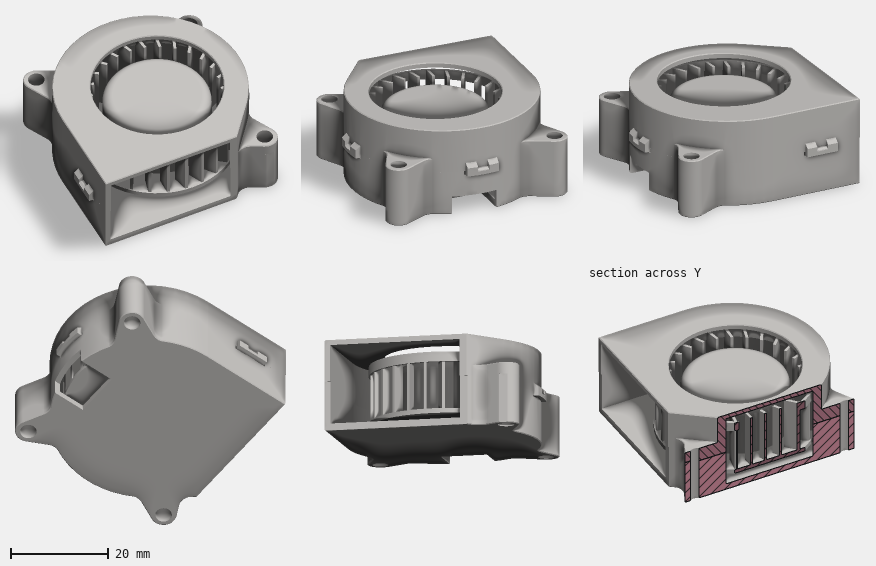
import cadquery as cq
import math


height = 18.95
scroll_radius = 20.2
corner_y = 9.8
wall = 1.2
floor_top = 1.47
ceiling = 17.85
edge_chamfer = 0.18
inlet_radius = 13.7

seam_z = 9.55
outlet_seam_z = 10.2
outlet_seam_x = 17.15
outlet_setback = 0.15

hole_pitch = 35.0
hole_radius = 1.7
lug_radius = scroll_radius - hole_pitch / 2
lug_top = 12.65
lug_flank_angle = math.degrees(math.atan(0.5))
lug_flank_length = 7.0
lug_fillet = 2.7
lug_root_depth = 0.05

clip_width = 7.0
clip_reach = 1.01
clip_bottom = 8.72
clip_shoulder = 10.57
clip_top = 11.41
clip_notch_width = 2.5
clip_inset = 0.6
pocket_width = 7.6
pocket_bottom = 8.55
hook_width = 2.4
hook_bottom = 9.73
hook_top = 10.03
hook_flat = 0.5
hook_pocket_top = 10.2
flat_clip_x = 11.0

cable_y_min = -3.45
cable_y_max = 6.3
cable_top = 4.0
cable_end_x = -12.0

impeller_y = 1.5
impeller_bottom = 3.32
disc_thickness = 1.0
impeller_radius = 16.8
hub_radius = 11.24
hub_top = 15.85
hub_fillet = 2.0
blade_count = 27
blade_top = 16.15
blade_inner_radius = 13.25
blade_thickness = 0.6
blade_lean = 21.0
first_blade_angle = -89.0
rim_bottom = 14.1
rim_inner_radius = 16.2
shaft_radius = 0.5

reach = 3 * scroll_radius


def box(x_min, x_max, y_min, y_max, z_min, z_max):
    size = (x_max - x_min, y_max - y_min, z_max - z_min)
    return cq.Workplane("XY").box(*size, centered=False).translate((x_min, y_min, z_min))


def disc(radius, z_min, z_max):
    return cq.Workplane("XY").workplane(offset=z_min).circle(radius).extrude(z_max - z_min)


def scroll(offset, end_x, z_min, z_max):
    """Round housing outline with a square -Y corner and a +Y side tangent to the circle."""
    radius = scroll_radius - offset
    corner_distance = math.hypot(scroll_radius, corner_y)
    tangent_angle = math.atan2(corner_y, scroll_radius) + math.acos(scroll_radius / corner_distance)
    tangent_x = radius * math.cos(tangent_angle)
    tangent_y = radius * math.sin(tangent_angle)
    side_y = (radius - end_x * math.cos(tangent_angle)) / math.sin(tangent_angle)
    return (
        cq.Workplane("XY")
        .workplane(offset=z_min)
        .moveTo(0, -radius)
        .lineTo(end_x, -radius)
        .lineTo(end_x, side_y)
        .lineTo(tangent_x, tangent_y)
        .threePointArc((-radius, 0), (0, -radius))
        .close()
        .extrude(z_max - z_min)
    )


lug_centres = [
    (side_x * hole_pitch / 2, side_y * hole_pitch / 2)
    for side_x, side_y in ((-1, 1), (1, 1), (-1, -1))
]


def lug(centre_x, centre_y):
    """Round boss with two straight flanks that spread towards the housing."""
    side_x = math.copysign(1, centre_x)
    side_y = math.copysign(1, centre_y)
    sine = math.sin(math.radians(lug_flank_angle))
    cosine = math.cos(math.radians(lug_flank_angle))
    near = (lug_radius * sine, lug_radius * cosine)
    far = (near[0] + lug_flank_length * cosine, near[1] - lug_flank_length * sine)
    flanks = [
        (-near[0], near[1]),
        (-far[0], far[1]),
        (far[1], -far[0]),
        (near[1], -near[0]),
    ]
    corners = [(centre_x + side_x * u, centre_y + side_y * v) for u, v in flanks]
    web = cq.Workplane("XY").polyline(corners).close().extrude(lug_top)
    return disc(lug_radius, 0, lug_top).translate((centre_x, centre_y, 0)).union(web)


def is_lug_root(edge):
    """True for the upright edges where a lug's flanks meet the scroll."""
    middle = edge.Center()
    distances = [math.hypot(middle.x - x, middle.y - y) for x, y in lug_centres]
    return 1.5 * lug_radius < min(distances) < 2.75 * lug_radius


def inlet():
    """Round air inlet above the impeller, with a beveled mouth."""
    mouth = cq.Workplane("XY").workplane(offset=height - edge_chamfer)
    mouth = mouth.circle(inlet_radius).extrude(edge_chamfer, taper=-45)
    return disc(inlet_radius, ceiling, height).union(mouth).translate((0, impeller_y, 0))


def housing_blank():
    """Both housings as one closed shell with lugs, inlet and outlet."""
    lugs = scroll(lug_root_depth, scroll_radius - lug_root_depth, 0, lug_top)
    for centre in lug_centres:
        lugs = lugs.union(lug(*centre))
    roots = [edge for edge in lugs.edges("|Z").vals() if is_lug_root(edge)]
    lugs = lugs.newObject(roots).fillet(lug_fillet)
    lugs = lugs.faces("<Z or >Z").chamfer(edge_chamfer)
    blank = scroll(0, scroll_radius, 0, height).faces("<Z or >Z").chamfer(edge_chamfer)
    blank = blank.union(lugs)
    outlet_end = scroll_radius + wall
    blank = blank.cut(scroll(wall, outlet_end, floor_top, ceiling))
    blank = blank.cut(inlet())
    for x, y in lug_centres:
        blank = blank.cut(disc(hole_radius, 0, lug_top).translate((x, y, 0)))
    return blank


def wall_strip(profile, width, curved):
    """Strip along the wall at -Y; the profile holds (distance outside the wall, z) points."""
    points = [(scroll_radius + depth, z) for depth, z in profile]
    if curved:
        strip = cq.Workplane("XZ").polyline(points).close().revolve(360, (0, 0), (0, 1))
    else:
        strip = cq.Workplane("YZ").polyline([(-r, z) for r, z in points]).close()
        strip = strip.extrude(width / 2, both=True)
    return strip.intersect(box(-width / 2, width / 2, -reach, 0, 0, height))


def rectangle(depth_min, depth_max, z_min, z_max):
    return [(depth_min, z_min), (depth_max, z_min), (depth_max, z_max), (depth_min, z_max)]


def clip(curved):
    """Two beveled prongs hanging from the upper wall, joined by a bar outside the lower wall."""
    prong_profile = [
        (-clip_inset, clip_bottom),
        (clip_reach, clip_bottom),
        (clip_reach, clip_shoulder),
        (0, clip_top),
        (-clip_inset, clip_top),
    ]
    bar_profile = rectangle(0, clip_reach, clip_bottom, seam_z)
    notch_profile = rectangle(-wall, 2 * clip_reach, 0, height)
    prongs = wall_strip(prong_profile, clip_width, curved)
    prongs = prongs.cut(wall_strip(notch_profile, clip_notch_width, curved))
    return prongs.union(wall_strip(bar_profile, clip_notch_width, curved))


def clip_pocket(curved):
    """Recess in the lower wall around the two prongs."""
    profile = rectangle(-clip_inset, clip_reach, pocket_bottom, outlet_seam_z)
    middle = rectangle(-wall, 2 * clip_reach, 0, height)
    pocket = wall_strip(profile, pocket_width, curved)
    return pocket.cut(wall_strip(middle, clip_notch_width, curved))


def hook(curved):
    """Tab on the lower wall that reaches out over the clip's bar."""
    profile = [
        (-clip_inset, seam_z),
        (0, seam_z),
        (0, hook_bottom),
        (clip_reach, hook_bottom),
        (hook_flat, hook_top),
        (-clip_inset, hook_top),
    ]
    return wall_strip(profile, hook_width, curved)


def hook_pocket(curved):
    """Recess in the upper wall behind the hook."""
    profile = rectangle(-clip_inset, clip_reach, seam_z, hook_pocket_top)
    return wall_strip(profile, clip_notch_width, curved)


def at_clips(feature):
    """A clip feature at its three places: left, back and the straight front wall."""
    curved = feature(True)
    left = curved.rotate((0, 0, 0), (0, 0, 1), -90)
    back = curved.rotate((0, 0, 0), (0, 0, 1), 180)
    front = feature(False).translate((flat_clip_x, 0, 0))
    return [left, back, front]


def below_seam():
    """Space taken up by the lower housing."""
    lower = box(-reach, reach, -reach, reach, 0, seam_z)
    return lower.union(box(outlet_seam_x, reach, -reach, reach, 0, outlet_seam_z))


def make_lower_housing(blank):
    body = blank.intersect(below_seam())
    body = body.cut(box(scroll_radius - outlet_setback, reach, -reach, reach, 0, height))
    body = body.cut(box(-reach, cable_end_x, cable_y_min, cable_y_max, 0, cable_top))
    for pocket in at_clips(clip_pocket):
        body = body.cut(pocket)
    for tab in at_clips(hook):
        body = body.union(tab, clean=False)
    return body


def make_upper_housing(blank):
    body = blank.cut(below_seam())
    for pocket in at_clips(hook_pocket):
        body = body.cut(pocket)
    for snap in at_clips(clip):
        body = body.union(snap)
    return body


def make_impeller():
    disc_top = impeller_bottom + disc_thickness
    hub = disc(hub_radius, impeller_bottom, hub_top).faces(">Z").edges().fillet(hub_fillet)
    rotor = hub.union(disc(impeller_radius, impeller_bottom, disc_top))
    rim = disc(impeller_radius, rim_bottom, blade_top)
    rotor = rotor.union(rim.cut(disc(rim_inner_radius, rim_bottom, blade_top)))
    blade_length = impeller_radius
    blade = box(0, blade_length, -blade_thickness / 2, blade_thickness / 2, disc_top, blade_top)
    blade = blade.rotate((0, 0, 0), (0, 0, 1), blade_lean).translate((blade_inner_radius, 0, 0))
    blade = blade.intersect(disc((impeller_radius + rim_inner_radius) / 2, 0, height))
    for index in range(blade_count):
        angle = first_blade_angle + index * 360 / blade_count
        rotor = rotor.union(blade.rotate((0, 0, 0), (0, 0, 1), angle))
    rotor = rotor.union(disc(shaft_radius, floor_top, impeller_bottom))
    return rotor.translate((0, impeller_y, 0))


housing = housing_blank()
lower_housing = make_lower_housing(housing)
upper_housing = make_upper_housing(housing)
impeller = make_impeller()

result = cq.Compound.makeCompound([lower_housing.val(), upper_housing.val(), impeller.val()])